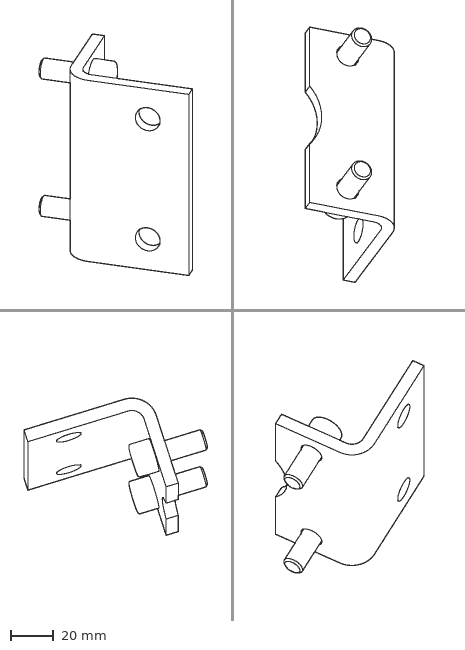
import cadquery as cq

plate_height = 95
plate_thickness = 6.0
front_flange_length = 61.0
side_flange_length = 46.0
bend_inner_radius = 6.0
bend_outer_radius = bend_inner_radius + plate_thickness

mount_hole_diameter = 12.0
mount_hole_spacing = 63.0
mount_hole_x = front_flange_length - 20.0

relief_radius = 23.0
relief_depth = 6.0

screw_spacing = 72.0
screw_y = 27.0
shank_diameter = 10.0
shank_projection = 19
shank_chamfer = 0.95
clearance_diameter = 11.0
head_diameter = 16.0
head_height = 10.0
head_edge_radius = 0.95
under_head_fillet = 0.4

screw_heights = [plate_height / 2 + side * screw_spacing / 2 for side in (-1, 1)]
mount_hole_heights = [plate_height / 2 + side * mount_hole_spacing / 2 for side in (-1, 1)]


def rod_along_x(diameter, start_x, length, y, z):
    """Cylinder running in +X from start_x."""
    return cq.Workplane("YZ", origin=(start_x, y, z)).circle(diameter / 2).extrude(length)


def make_bent_plate():
    """L-shaped plate with a rounded bend."""
    return (
        cq.Workplane("XY")
        .moveTo(bend_outer_radius, 0)
        .lineTo(front_flange_length, 0)
        .lineTo(front_flange_length, plate_thickness)
        .lineTo(bend_outer_radius, plate_thickness)
        .radiusArc((plate_thickness, bend_outer_radius), bend_inner_radius)
        .lineTo(plate_thickness, side_flange_length)
        .lineTo(0, side_flange_length)
        .lineTo(0, bend_outer_radius)
        .radiusArc((bend_outer_radius, 0), -bend_outer_radius)
        .close()
        .extrude(plate_height)
    )


def make_bracket():
    """Bent plate with its mounting holes, screw clearance holes and edge relief."""
    bracket = make_bent_plate()
    for z in mount_hole_heights:
        hole = (
            cq.Workplane("XZ", origin=(mount_hole_x, 0, z))
            .circle(mount_hole_diameter / 2)
            .extrude(-plate_thickness)
        )
        bracket = bracket.cut(hole)
    for z in screw_heights:
        bracket = bracket.cut(rod_along_x(clearance_diameter, 0, plate_thickness, screw_y, z))
    relief_y = side_flange_length - relief_depth + relief_radius
    relief = rod_along_x(2 * relief_radius, 0, plate_thickness, relief_y, plate_height / 2)
    return bracket.cut(relief)


def make_screw(z):
    """Cap screw, revolved about its axis, whose head seats on the inner face of the side flange."""
    shank_radius = shank_diameter / 2
    head_radius = head_diameter / 2
    head_end_x = plate_thickness + head_height
    return (
        cq.Workplane("XY", origin=(0, screw_y, z))
        .moveTo(-shank_projection, 0)
        .lineTo(-shank_projection, shank_radius - shank_chamfer)
        .lineTo(-shank_projection + shank_chamfer, shank_radius)
        .lineTo(plate_thickness - under_head_fillet, shank_radius)
        .radiusArc((plate_thickness, shank_radius + under_head_fillet), -under_head_fillet)
        .lineTo(plate_thickness, head_radius)
        .lineTo(head_end_x - head_edge_radius, head_radius)
        .radiusArc((head_end_x, head_radius - head_edge_radius), head_edge_radius)
        .lineTo(head_end_x, 0)
        .close()
        .revolve(360, (0, 0, 0), (1, 0, 0))
    )


bracket = make_bracket()
screws = [make_screw(z) for z in screw_heights]

result = cq.Compound.makeCompound([bracket.val(), *[screw.val() for screw in screws]])